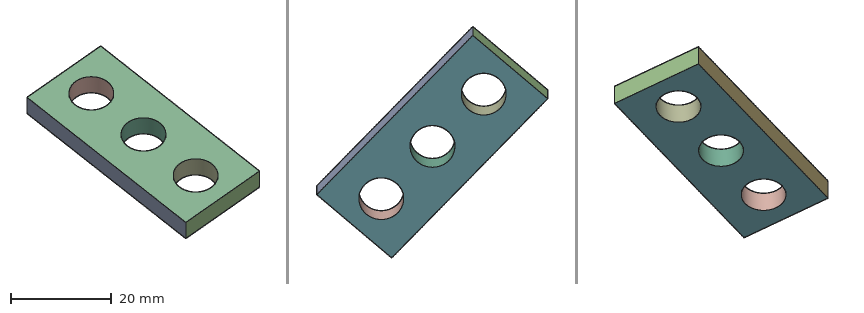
import cadquery as cq

length = 45.95
width = 20.1
thickness = 4.8

hole_diameter = 8.85
hole_count = 3
hole_pitch = 15.1
row_offset = 0.07

plate = cq.Workplane("XY").box(length, width, thickness)

result = (
    plate.faces(">Z")
    .workplane()
    .center(row_offset, 0)
    .rarray(hole_pitch, 0.45, hole_count, 1)
    .hole(hole_diameter)
)